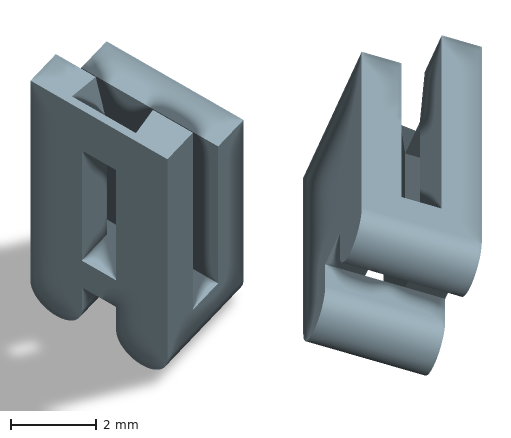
import cadquery as cq

height = 8.2
wall = 1.0
depth = 3 * wall
foot_width = 1.5
opening_width = 1.0
width = 2 * foot_width + opening_width
foot_radius = foot_width / 2

floor_top = 1.61
window_bottom = 2.6
rear_wall_top = 6.7
window_top = rear_wall_top

lead_in_lip = 0.2
lead_in_outer_half_width = 0.935
lead_in_inner_half_width = 0.84


def block(x_size, y_start, y_end, z_start, z_end):
    """Box centred on X, between the given Y and Z limits."""
    return (
        cq.Workplane("XY")
        .box(x_size, y_end - y_start, z_end - z_start, centered=(True, False, False))
        .translate((0, y_start, z_start))
    )


def body():
    """Upright block standing on two feet with round ends."""
    outer = width / 2
    inner = opening_width / 2
    foot_center = inner + foot_radius
    return (
        cq.Workplane("XZ")
        .moveTo(-outer, height)
        .lineTo(-outer, foot_radius)
        .threePointArc((-foot_center, 0), (-inner, foot_radius))
        .lineTo(-inner, floor_top)
        .lineTo(inner, floor_top)
        .lineTo(inner, foot_radius)
        .threePointArc((foot_center, 0), (outer, foot_radius))
        .lineTo(outer, height)
        .close()
        .extrude(-depth)
    )


def lead_in():
    """Wedge that narrows from the top of the front wall to the top of the window."""

    def corners(half_width, y, z):
        return cq.Vector(-half_width, y, z), cq.Vector(half_width, y, z)

    lip_left, lip_right = corners(lead_in_outer_half_width, lead_in_lip, height)
    top_left, top_right = corners(lead_in_inner_half_width, wall, height)
    low_left, low_right = corners(opening_width / 2, wall, window_top)
    outlines = [
        (lip_left, lip_right, top_right, top_left),
        (top_left, top_right, low_right, low_left),
        (lip_left, low_left, low_right, lip_right),
        (lip_left, top_left, low_left),
        (lip_right, low_right, top_right),
    ]
    faces = [cq.Face.makeFromWires(cq.Wire.makePolygon(points, close=True)) for points in outlines]
    return cq.Workplane(cq.Solid.makeSolid(cq.Shell.makeShell(faces)))


slot = block(width, wall, 2 * wall, floor_top, height)
space_above_rear_wall = block(width, 2 * wall, depth, rear_wall_top, height)
window = block(opening_width, 0, wall, window_bottom, window_top)

result = body().cut(slot).cut(space_above_rear_wall).cut(window).cut(lead_in())